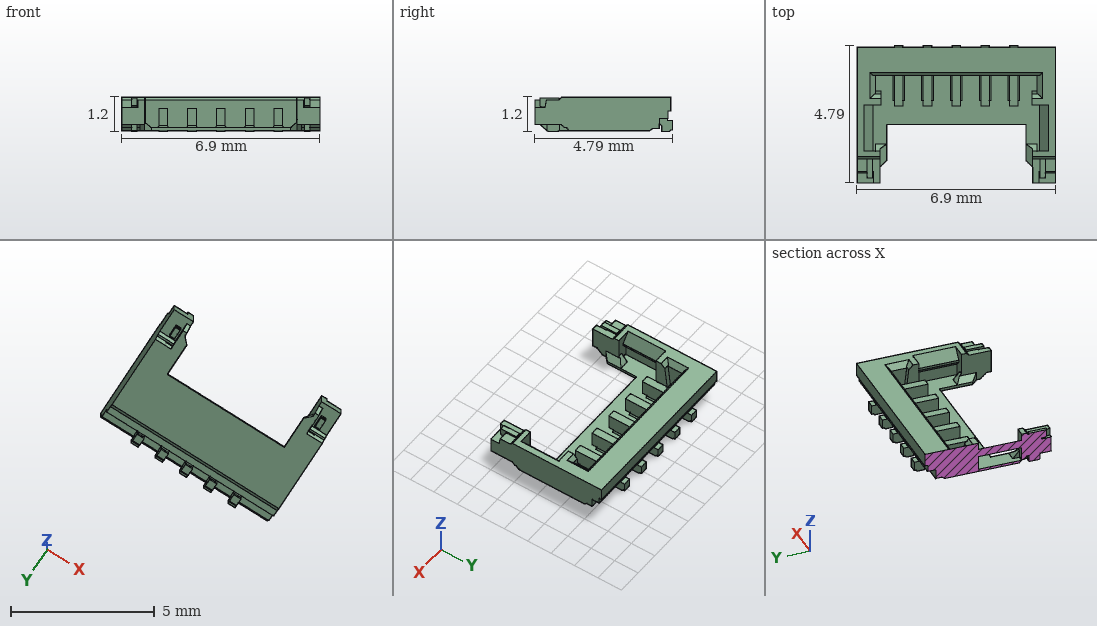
import cadquery as cq

width = 6.9
height = 1.2
tail_back = 4.79
body_back = 4.725
body_bottom = 0.03
floor_top = 0.14
arm_top = 1.105
arm_bottom = 0.24

arm_inner = 2.65
floor_inner = 2.415
tab_inner = 2.62
floor_front = 2.035
arm_wall_back = 1.12
tab_front = 2.72
tab_back = 2.94
cavity_half_width = 2.81
cavity_back = 3.74

contact_count = 5
contact_pitch = 1.0
contact_width = 0.3
blade_front = 2.685
blade_bottom = 0.21
blade_top = 0.8
tail_seat_front = 4.325
tail_seat_top = 0.46

wedge_back = 1.365
wedge_rise = 0.19
wedge_ramp_run = 0.17

foot_front = 0.42
notch_back = 0.4
clip_outer = 3.1
clip_inner = 2.905


def across(points, half_width):
    """Prism with a Y-Z outline, centred on X = 0."""
    return cq.Workplane("YZ").polyline(points).close().extrude(half_width, both=True)


def along(points, front, back):
    """Prism with an X-Z outline, running from front to back in Y."""
    prism = cq.Workplane("XZ").polyline(points).close().extrude(front - back)
    return prism.translate((0, front, 0))


def block(x_range, y_range, z_range):
    """Rectangular block between the given limits."""
    (x0, x1), (y0, y1), (z0, z1) = x_range, y_range, z_range
    return cq.Workplane("XY").box(x1 - x0, y1 - y0, z1 - z0, centered=False).translate((x0, y0, z0))


def side_prism(points, inner, outer):
    """Prism with a Y-Z outline on the +X side, between two distances from the centre."""
    return cq.Workplane("YZ").workplane(offset=inner).polyline(points).close().extrude(outer - inner)


def both_sides(shape):
    """The shape on +X together with its mirror image on -X."""
    return shape.union(shape.mirror("YZ"))


def housing_blank():
    """Full-width blank with the stepped side outline of the housing."""
    arm_step = 0.93
    arm_bottom_step = 0.92
    back_step_z = 0.71
    back_step_y = 4.63
    heel_z = 0.105
    outline = [
        (0, arm_bottom), (0, arm_top), (arm_step - (height - arm_top), arm_top), (arm_step, height),
        (body_back, height), (body_back, back_step_z),
        (back_step_y, back_step_z), (back_step_y, tail_seat_top),
        (tail_seat_front, tail_seat_top), (tail_seat_front, heel_z),
        (4.09, heel_z), (3.99, body_bottom),
        (1.2, body_bottom), (1.09, floor_top), (1.02, floor_top), (arm_bottom_step, arm_bottom),
    ]
    return across(outline, width / 2)


def mouth():
    """Open space between the arms and over the floor plate."""
    over_floor = block((-tab_inner, tab_inner), (0, cavity_back), (floor_top, height))
    between_floors = block((-floor_inner, floor_inner), (0, floor_front), (0, height))
    between_arms = block((-arm_inner, arm_inner), (0, arm_wall_back), (0, height))
    return over_floor.union(between_floors).union(between_arms)


def contact_cavity():
    """Cavity around the contacts, with a sloped rim and a drafted front wall."""
    rim_half_width = 3.0
    rim_back = 3.84
    side_slope = rim_half_width - cavity_half_width
    back_slope = rim_back - cavity_back
    front_slope = 0.16
    drafted_foot = 3.2
    depth_outline = [
        (tab_back, height), (tab_back + front_slope, height - front_slope), (drafted_foot, floor_top),
        (cavity_back, floor_top), (cavity_back, height - back_slope), (rim_back, height),
    ]
    width_outline = [
        (-rim_half_width, height), (-cavity_half_width, height - side_slope),
        (-cavity_half_width, floor_top), (cavity_half_width, floor_top),
        (cavity_half_width, height - side_slope), (rim_half_width, height),
    ]
    return across(depth_outline, rim_half_width).intersect(along(width_outline, tab_back, rim_back))


def arm_pockets():
    """Pockets in the arms: sloped lead-in, short lip, then an undercut above the floor."""
    rim = 3.2
    lip = 2.9
    undercut = 3.065
    lip_top = 0.82
    lip_bottom = 0.74
    undercut_top = 0.565
    outline = [
        (tab_inner, height), (rim, height), (lip, lip_top), (lip, lip_bottom),
        (undercut, undercut_top), (undercut, floor_top), (tab_inner, floor_top),
    ]
    return both_sides(along(outline, arm_wall_back, tab_front))


def arm_corner_notches():
    """Notches in the outer top corners of the arm ends."""
    notch_floor = 0.835
    notch_inner = 2.88
    outline = [
        (0, height), (0, notch_floor), (0.35, notch_floor),
        (notch_back, arm_top), (notch_back, height),
    ]
    return both_sides(side_prism(outline, notch_inner, width / 2))


def arm_wedges():
    """Ramped, side-chamfered wedges that stand between the floor and the arm ends."""
    ramp_length = wedge_back - arm_wall_back
    ramp_top = floor_top + wedge_rise * ramp_length / wedge_ramp_run
    toe = 0.56
    ramp = [
        (toe, body_bottom), (toe, ramp_top), (arm_wall_back, ramp_top),
        (wedge_back, floor_top), (wedge_back, body_bottom),
    ]
    section = [
        (floor_inner, body_bottom), (floor_inner, floor_top), (arm_inner, floor_top + wedge_rise),
        (arm_inner, ramp_top), (cavity_half_width, ramp_top), (cavity_half_width, body_bottom),
    ]
    wedge = side_prism(ramp, floor_inner, cavity_half_width).intersect(along(section, 0, wedge_back))
    bevel = arm_inner - floor_inner
    front_corner = (
        cq.Workplane("XY")
        .polyline([(floor_inner, toe), (arm_inner, toe), (floor_inner, toe + bevel)])
        .close()
        .extrude(height)
    )
    return both_sides(wedge.cut(front_corner))


def arm_feet():
    """Feet under the inner edges of the arms, sloped at the front."""
    slope_front = 0.18
    outline = [
        (foot_front, body_bottom), (slope_front, arm_bottom),
        (arm_wall_back, arm_bottom), (arm_wall_back, body_bottom),
    ]
    return both_sides(side_prism(outline, arm_inner, cavity_half_width))


def retention_clips():
    """Clips that hook over the arm ends, each with a solder foot below."""
    clip_top = 1.17
    clip_front = 0.17
    hook_bottom = 0.855
    hook_chamfer = 0.05
    hook_back = 0.84
    hook_root = arm_top - 0.07
    hook = [
        (hook_back, clip_top), (clip_front, clip_top), (clip_front, hook_bottom + hook_chamfer),
        (clip_front + hook_chamfer, hook_bottom), (notch_back, hook_bottom),
        (notch_back, hook_root), (hook_back, hook_root),
    ]
    foot_back = 0.85
    foot_chamfer = 0.035
    foot = [
        (foot_front, arm_bottom), (foot_front, foot_chamfer), (foot_front + foot_chamfer, 0),
        (foot_back - foot_chamfer, 0), (foot_back, foot_chamfer), (foot_back, arm_bottom),
    ]
    clip = side_prism(hook, clip_inner, clip_outer).union(side_prism(foot, clip_inner, clip_outer))
    return both_sides(clip)


def contact():
    """One contact: a blade in the cavity and a tail behind the housing."""
    half = contact_width / 2
    blade = block((-half, half), (blade_front, tail_seat_front), (blade_bottom, blade_top))
    step_y = 4.61
    step_z = 0.39
    heel_z = 0.05
    sole_front = 4.4
    tail = [
        (tail_seat_front, tail_seat_top), (step_y, tail_seat_top), (step_y, step_z), (tail_back, step_z),
        (tail_back, heel_z), (4.72, heel_z), (4.68, 0), (sole_front, 0),
        (sole_front, 0.21), (tail_seat_front, 0.27),
    ]
    return blade.union(across(tail, half))


def contact_rib():
    """Sloped rib on the floor that carries a blade."""
    top_half = contact_width / 2
    foot_half = 0.2
    rib_front = 2.87
    shoulder = 0.185
    outline = [
        (-foot_half, floor_top), (-top_half, shoulder), (-top_half, blade_bottom),
        (top_half, blade_bottom), (top_half, shoulder), (foot_half, floor_top),
    ]
    return along(outline, rib_front, cavity_back)


result = housing_blank()
for opening in (mouth(), contact_cavity(), arm_pockets(), arm_corner_notches()):
    result = result.cut(opening)
for addition in (arm_wedges(), arm_feet(), retention_clips()):
    result = result.union(addition)
contact_with_rib = contact().union(contact_rib())
for index in range(contact_count):
    offset = (index - (contact_count - 1) / 2) * contact_pitch
    result = result.union(contact_with_rib.translate((offset, 0, 0)))